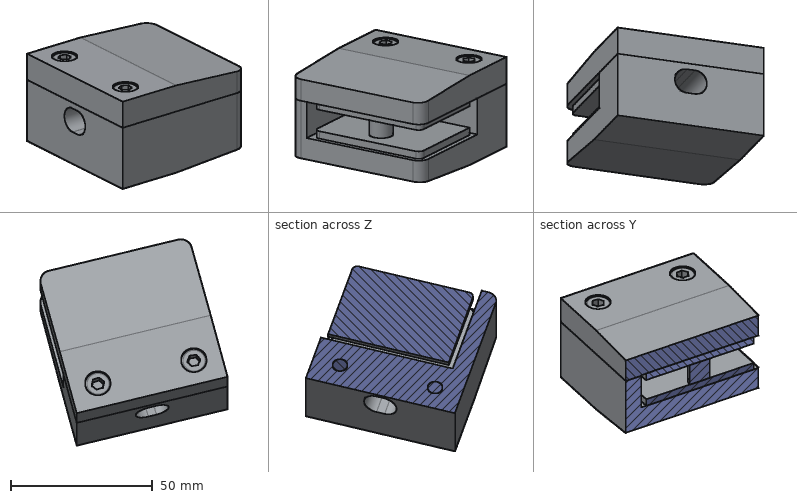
import cadquery as cq
import math

length = 55.0
width = 55.0
jaw_thickness = 10.0
slot_height = 13.5
slot_depth = 36.0
side_wall = 6.5
corner_radius = 4.0
taper_start = 24.0
taper_drop = 2.0

pad_margin = 2.0
pad_thickness = 2.75
pad_corner_radius = corner_radius - pad_margin

pin_diameter = 8.5
pin_y = 44.05

passage_width = 12.0
passage_height = 9.0

screw_edge_x = 10.0
screw_y = 9.0
head_diameter = 9.0
counterbore_depth = 5.5
head_recess = 0.35
head_fillet = 0.6
hex_sides = 6
hex_flats = 4.0
hex_depth = 3.0
hex_turn = 4.5
shank_diameter = 5.0
shank_length = 16.5

height = 2 * jaw_thickness + slot_height
lid_bottom = height - jaw_thickness
slot_back = width - slot_depth
slot_length = length - side_wall
slot_x = -side_wall / 2
slot_y = slot_back + slot_depth / 2
screw_points = [(side * (length / 2 - screw_edge_x), screw_y) for side in (-1, 1)]
counterbore_floor = height - counterbore_depth
head_top = height - head_recess


def extrude_across(points):
    """Extrude a (Y, Z) outline over the full length in X, centred on X = 0."""
    return cq.Workplane("YZ").polyline(points).close().extrude(length / 2, both=True)


def make_base():
    """Lower jaw with the back wall and side wall, the oblong passage and the screw holes."""
    outline = [
        (0, 0),
        (taper_start, 0),
        (width, taper_drop),
        (width, lid_bottom),
        (0, lid_bottom),
    ]
    block = extrude_across(outline).edges("|Z and >Y").fillet(corner_radius)
    slot = (
        cq.Workplane("XY", origin=(slot_x, slot_y, jaw_thickness))
        .rect(slot_length, slot_depth)
        .extrude(slot_height)
    )
    passage = (
        cq.Workplane("XZ", origin=(0, 0, height / 2))
        .slot2D(passage_width, passage_height)
        .extrude(-slot_back)
    )
    holes = (
        cq.Workplane("XY", origin=(0, 0, counterbore_floor - shank_length))
        .pushPoints(screw_points)
        .circle(shank_diameter / 2)
        .extrude(shank_length)
    )
    return block.cut(slot).cut(passage).cut(holes)


def make_lid():
    """Upper jaw, closing the slot from above, with counterbored screw holes."""
    outline = [
        (0, lid_bottom),
        (width, lid_bottom),
        (width, height - taper_drop),
        (taper_start, height),
        (0, height),
    ]
    lid = extrude_across(outline).edges("|Z and >Y").fillet(corner_radius)
    return (
        lid.faces(">Z")
        .workplane(origin=(0, 0, height))
        .pushPoints(screw_points)
        .cboreHole(shank_diameter, head_diameter, counterbore_depth)
    )


def make_pad(bottom):
    """Flat pad inset evenly from the slot outline, rounded at its +Y corners."""
    return (
        cq.Workplane("XY", origin=(slot_x, slot_y, bottom))
        .rect(slot_length - 2 * pad_margin, slot_depth - 2 * pad_margin)
        .extrude(pad_thickness)
        .edges("|Z and >Y")
        .fillet(pad_corner_radius)
    )


def make_pin():
    """Cylinder filling the gap between the two pads."""
    return (
        cq.Workplane("XY", origin=(slot_x, pin_y, jaw_thickness + pad_thickness))
        .circle(pin_diameter / 2)
        .extrude(slot_height - 2 * pad_thickness)
    )


def make_screw(x, y, turn):
    """Cap screw with its head sunk in the lid and its shank in the base."""
    head = (
        cq.Workplane("XY", origin=(x, y, counterbore_floor))
        .circle(head_diameter / 2)
        .extrude(counterbore_depth - head_recess)
        .faces(">Z")
        .edges()
        .fillet(head_fillet)
    )
    socket = (
        cq.Workplane("XY", origin=(x, y, head_top))
        .transformed(rotate=(0, 0, turn))
        .polygon(hex_sides, hex_flats / math.cos(math.pi / hex_sides))
        .extrude(-hex_depth)
    )
    shank = (
        cq.Workplane("XY", origin=(x, y, counterbore_floor))
        .circle(shank_diameter / 2)
        .extrude(-shank_length)
    )
    return head.union(shank).cut(socket)


base = make_base()
lid = make_lid()
pads = [make_pad(jaw_thickness), make_pad(lid_bottom - pad_thickness)]
pin = make_pin()
screws = [make_screw(x, y, -math.copysign(hex_turn, x)) for x, y in screw_points]

bodies = [base, lid, *pads, pin, *screws]
result = cq.Compound.makeCompound([body.val() for body in bodies])